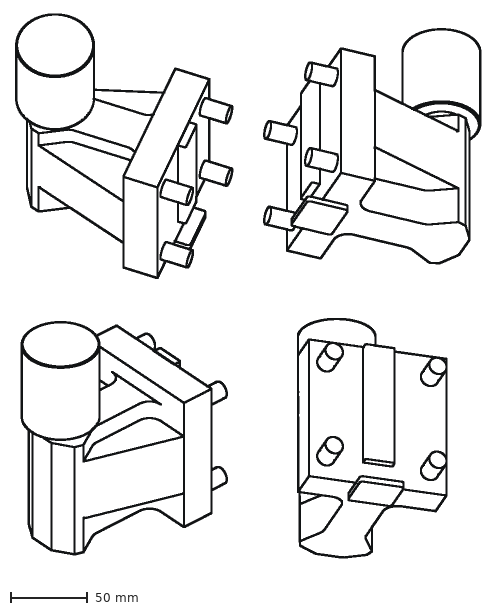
import cadquery as cq
import math


PLATE_FRONT = 66.0
PLATE_BACK = 89.8
PLATE_WIDTH = 94.0
PLATE_HEIGHT = 100.0

BODY_HEIGHT = 86.4
NOSE_FRONT = -16.2
NOSE_FLAT_HALF = 9.3
SHOULDER_X = -7.8
SHOULDER_HALF = 22.8
NOSE_END_X = -1.9
NOSE_BACK_ANGLE = 30.0
WEB_HALF = 14.3
WEB_FILLET = 9.9
BAND_BOTTOM = 27.2
BAND_TOP = 73.0

KNOB_RADIUS = 25.5
KNOB_BOTTOM = 93.7
KNOB_TOP = 153.0
KNOB_TOP_CHAMFER = 0.6
LOWER_CHAMFER = 1.0
COLLAR_RADIUS = 15.2
COLLAR_BOTTOM = 87.1
STEM_RADIUS = 9.7

PIN_RADIUS = 6.0
PIN_END = 108.0
PIN_Y = 35.5
PIN_HEIGHTS = (15.5, 84.3)

RAIL_WIDTH = 20.1
RAIL_DEPTH = 5.5
RAIL_TOP = 99.5
RAIL_BOTTOM = 15.5
RAIL_CORNER = 1.1

PAD_FRONT = 71.6
PAD_BACK = 100.2
PAD_WIDTH = 30.0
PAD_THICKNESS = 4.0
PAD_CORNER = 2.0

PLATE_HALF = PLATE_WIDTH / 2
TAPER_SLOPE = (PLATE_HALF - SHOULDER_HALF) / (PLATE_FRONT - SHOULDER_X)
NOSE_END_HALF = SHOULDER_HALF + TAPER_SLOPE * (NOSE_END_X - SHOULDER_X)
WEB_START_X = NOSE_END_X + (NOSE_END_HALF - WEB_HALF) / math.tan(math.radians(NOSE_BACK_ANGLE))


def box_between(x_min, x_max, width, z_min, z_max):
    """Block centred on Y between the given X and Z limits."""
    block = cq.Workplane("XY").box(x_max - x_min, width, z_max - z_min, centered=(False, True, False))
    return block.translate((x_min, 0, z_min))


def symmetric_prism(half_outline, z_min, z_max):
    """Extrude an outline given by its +Y half and mirrored across the XZ plane."""
    mirrored = [(x, -y) for x, y in reversed(half_outline)]
    outline = cq.Workplane("XY").workplane(offset=z_min).polyline(half_outline + mirrored).close()
    return outline.extrude(z_max - z_min)


def upright_cylinder(radius, z_min, z_max):
    return cq.Workplane("XY").workplane(offset=z_min).circle(radius).extrude(z_max - z_min)


def make_body():
    nose = [(NOSE_FRONT, NOSE_FLAT_HALF), (SHOULDER_X, SHOULDER_HALF)]
    core_outline = nose + [
        (NOSE_END_X, NOSE_END_HALF),
        (WEB_START_X, WEB_HALF),
        (PLATE_FRONT, WEB_HALF),
    ]
    core = symmetric_prism(core_outline, 0, BODY_HEIGHT)
    plate = box_between(PLATE_FRONT, PLATE_BACK, PLATE_WIDTH, 0, PLATE_HEIGHT)
    body = core.union(plate)

    for corner_x in (WEB_START_X, PLATE_FRONT):
        for side in (-1, 1):
            corner = cq.selectors.NearestToPointSelector((corner_x, side * WEB_HALF, BODY_HEIGHT / 2))
            body = body.edges("|Z").edges(corner).fillet(WEB_FILLET)

    band_outline = nose + [(PLATE_FRONT, PLATE_HALF)]
    return body.union(symmetric_prism(band_outline, BAND_BOTTOM, BAND_TOP))


def make_knob():
    knob = upright_cylinder(KNOB_RADIUS, KNOB_BOTTOM, KNOB_TOP)
    knob = knob.faces(">Z").edges().chamfer(KNOB_TOP_CHAMFER)
    knob = knob.faces("<Z").edges().chamfer(LOWER_CHAMFER)
    collar = upright_cylinder(COLLAR_RADIUS, COLLAR_BOTTOM, KNOB_BOTTOM)
    collar = collar.faces("<Z").edges().chamfer(LOWER_CHAMFER)
    stem = upright_cylinder(STEM_RADIUS, BODY_HEIGHT, COLLAR_BOTTOM)
    return knob.union(collar).union(stem)


def make_pins():
    centers = [(y, z) for y in (-PIN_Y, PIN_Y) for z in PIN_HEIGHTS]
    face = cq.Workplane("YZ").workplane(offset=PLATE_BACK)
    return face.pushPoints(centers).circle(PIN_RADIUS).extrude(PIN_END - PLATE_BACK)


def make_rail():
    rail = box_between(PLATE_BACK, PLATE_BACK + RAIL_DEPTH, RAIL_WIDTH, RAIL_BOTTOM, RAIL_TOP)
    return rail.edges("|Z and >X").fillet(RAIL_CORNER)


def make_pad():
    pad = box_between(PAD_FRONT, PAD_BACK, PAD_WIDTH, -PAD_THICKNESS, 0)
    return pad.edges("|Z").fillet(PAD_CORNER)


result = make_body().union(make_knob()).union(make_pins()).union(make_rail()).union(make_pad())